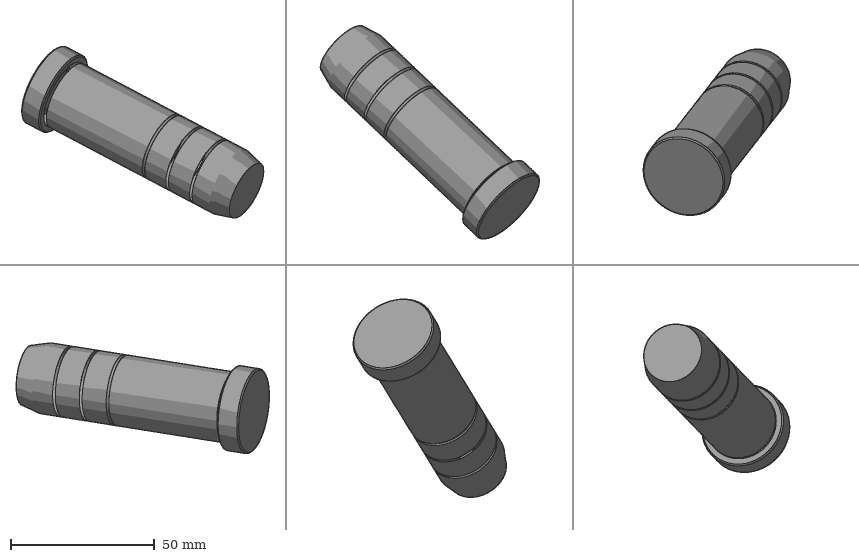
import cadquery as cq
import math

total_length = 85.0
head_diameter = 30.0
head_length = 8.0
head_chamfer = 0.5
shank_diameter = 25.0

taper_length = 7.0
taper_angle = 15.0

groove_radius = 0.5
first_groove_x = 50.0
groove_pitch = 10.0
groove_count = 3

shank_radius = shank_diameter / 2
tip_radius = shank_radius - taper_length * math.tan(math.radians(taper_angle))


def cylinder_along_x(diameter, length):
    return cq.Workplane("YZ").circle(diameter / 2).extrude(length)


def ring_groove(x):
    """Ring with a round section, centred on the shank surface at position x."""
    return (
        cq.Workplane("XY")
        .center(x, shank_radius)
        .circle(groove_radius)
        .revolve(360, (0, -shank_radius), (1, -shank_radius))
    )


head = cylinder_along_x(head_diameter, head_length).edges().chamfer(head_chamfer)

shank = (
    cq.Workplane("XY")
    .moveTo(head_length / 2, 0)
    .lineTo(head_length / 2, shank_radius)
    .lineTo(total_length - taper_length, shank_radius)
    .lineTo(total_length, tip_radius)
    .lineTo(total_length, 0)
    .close()
    .revolve(360, (0, 0), (1, 0))
)

groove_positions = [first_groove_x + i * groove_pitch for i in range(groove_count)]
relief_x = head_length + groove_radius
for x in [relief_x] + groove_positions:
    shank = shank.cut(ring_groove(x))

result = head.union(shank)